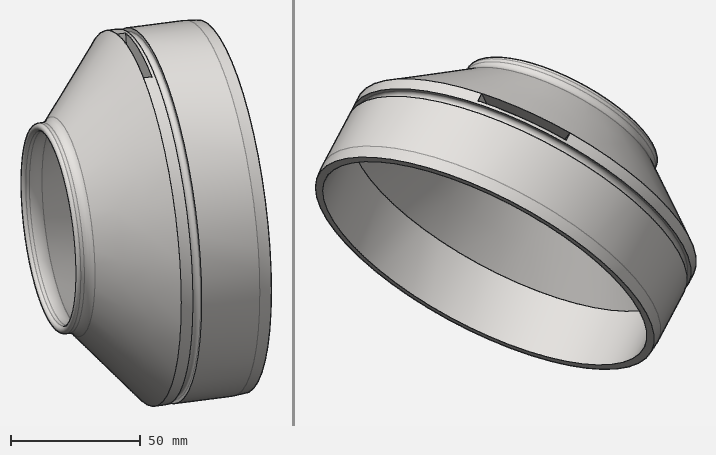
import cadquery as cq
import math

length = 69.0
body_radius = 73.1
body_bore_radius = 69.52
neck_radius = 41.01
neck_bore_radius = 38.0
neck_start = 66.1

taper_length = 4.8
taper_drop = 0.5

outer_cone_start = 36.3
outer_blend_radius = 5.0
inner_cone_start = 25.0
inner_blend_radius = 8.8

groove_start = 28.0
groove_width = 3.5
groove_floor_radius = 69.9

slot_start = 32.9
slot_floor_radius = 64.3
slot_angle = 30.0


def revolve_section(section):
    """Turn a section drawn as (radius, distance from the back face) into a ring."""
    return section.revolve(360, (0, 0, 0), (0, 1, 0))


def blend_points(cone_radius, cone_start, tube_radius, blend_radius):
    """Return start, middle and end of the arc tangent to a cone and to the neck tube."""
    centre_radius = tube_radius + blend_radius
    radial_gap = cone_radius - centre_radius
    axial_gap = neck_start - cone_start
    cone_angle = math.atan2(radial_gap, axial_gap) + math.asin(
        blend_radius / math.hypot(radial_gap, axial_gap)
    )

    def point_at(angle):
        return (
            centre_radius - blend_radius * math.cos(angle),
            neck_start - blend_radius * math.sin(angle),
        )

    return point_at(cone_angle), point_at(cone_angle / 2), (tube_radius, neck_start)


def make_shell():
    """Hollow body, cone and neck with a fully rounded rim."""
    outer_start, outer_middle, outer_end = blend_points(
        body_radius, outer_cone_start, neck_radius, outer_blend_radius
    )
    inner_start, inner_middle, inner_end = blend_points(
        body_bore_radius, inner_cone_start, neck_bore_radius, inner_blend_radius
    )
    rim_round = (neck_radius - neck_bore_radius) / 2
    rim_start = length - rim_round
    section = (
        cq.Workplane("XY")
        .moveTo(body_bore_radius, 0)
        .lineTo(body_radius - taper_drop, 0)
        .lineTo(body_radius, taper_length)
        .lineTo(body_radius, outer_cone_start)
        .lineTo(*outer_start)
        .threePointArc(outer_middle, outer_end)
        .lineTo(neck_radius, rim_start)
        .threePointArc((neck_radius - rim_round, length), (neck_bore_radius, rim_start))
        .lineTo(*inner_end)
        .threePointArc(inner_middle, inner_start)
        .lineTo(body_bore_radius, inner_cone_start)
        .close()
    )
    return revolve_section(section)


def make_groove():
    """Ring with a half-round floor, to be cut from the body side."""
    floor_round = groove_width / 2
    floor_round_start = groove_floor_radius + floor_round
    groove_end = groove_start + groove_width
    section = (
        cq.Workplane("XY")
        .moveTo(body_radius, groove_start)
        .lineTo(floor_round_start, groove_start)
        .threePointArc(
            (groove_floor_radius, groove_start + floor_round),
            (floor_round_start, groove_end),
        )
        .lineTo(body_radius, groove_end)
        .close()
    )
    return revolve_section(section)


def make_slot():
    """Sector of a ring centred on +Z, with its end walls on radial planes."""
    section = (
        cq.Workplane("XY")
        .moveTo(slot_floor_radius, slot_start)
        .lineTo(body_radius, slot_start)
        .lineTo(body_radius, outer_cone_start)
        .lineTo(slot_floor_radius, outer_cone_start)
        .close()
    )
    sector = section.revolve(slot_angle, (0, 0, 0), (0, 1, 0))
    turn_to_top = -90 - slot_angle / 2
    return sector.rotate((0, 0, 0), (0, 1, 0), turn_to_top)


funnel = make_shell().cut(make_groove()).cut(make_slot())

result = funnel.mirror("XZ").translate((0, length / 2, 0))